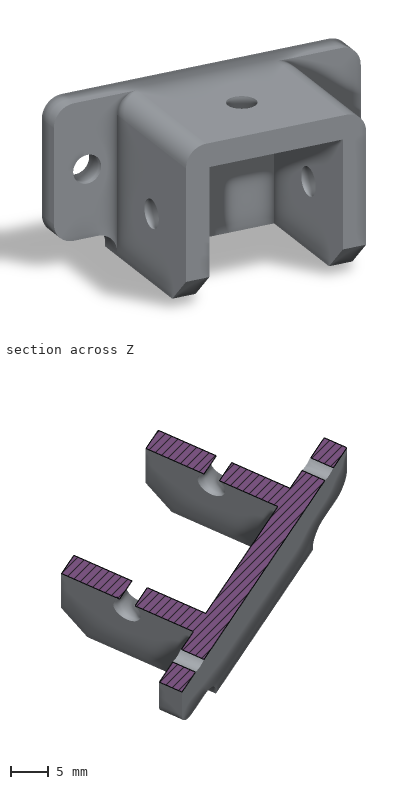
import cadquery as cq

plate_length = 46.0
wall = 3.5
cavity = 20.0
hole_diameter = 4.2
corner_radius = 3.0
chamfer_size = 4.0
ear_hole_spacing = 36.0

height = cavity + wall
depth = cavity + wall
body_width = cavity + 2 * wall
half_body = body_width / 2
hole_centre = cavity / 2


def make_body():
    """Block with rounded upper edges and chamfered lower outer corners."""
    block = cq.Workplane("XY").box(depth, body_width, height, centered=(False, True, False))
    block = block.edges("|X and >Z").fillet(corner_radius)
    return block.edges("|Y and >X and <Z").chamfer(chamfer_size)


def make_end_plate():
    """Rounded mounting ears joined to a square-cornered centre panel."""
    ears = (
        cq.Workplane("XY", origin=(0, 0, wall))
        .box(wall, plate_length, cavity, centered=(False, True, False))
        .edges("|X")
        .fillet(corner_radius)
    )
    panel = cq.Workplane("XY").box(wall, body_width, height, centered=(False, True, False))
    return ears.union(panel)


def make_ear_root(side):
    """Concave fillet below an ear, on the side (+1 or -1) of the panel."""
    root = half_body * side
    outer = (half_body + corner_radius) * side
    corner = (
        cq.Workplane("YZ")
        .moveTo(root, wall)
        .lineTo(outer, wall)
        .lineTo(outer, wall - corner_radius)
        .lineTo(root, wall - corner_radius)
        .close()
        .extrude(wall)
    )
    round_cut = (
        cq.Workplane("YZ")
        .center(outer, wall - corner_radius)
        .circle(corner_radius)
        .extrude(wall)
    )
    return corner.cut(round_cut)


result = make_body().union(make_end_plate())
for side in (1, -1):
    result = result.union(make_ear_root(side))

cavity_cutter = cq.Workplane("XY", origin=(wall, 0, 0)).box(
    depth, cavity, cavity, centered=(False, True, False)
)
result = result.cut(cavity_cutter)

hole_radius = hole_diameter / 2
ear_holes = (
    cq.Workplane("YZ")
    .pushPoints([(-ear_hole_spacing / 2, wall + hole_centre), (ear_hole_spacing / 2, wall + hole_centre)])
    .circle(hole_radius)
    .extrude(wall)
)
top_hole = cq.Workplane("XY").center(wall + hole_centre, 0).circle(hole_radius).extrude(height)
side_hole = (
    cq.Workplane("XZ")
    .center(wall + hole_centre, hole_centre)
    .circle(hole_radius)
    .extrude(half_body, both=True)
)
result = result.cut(ear_holes).cut(top_hole).cut(side_hole)